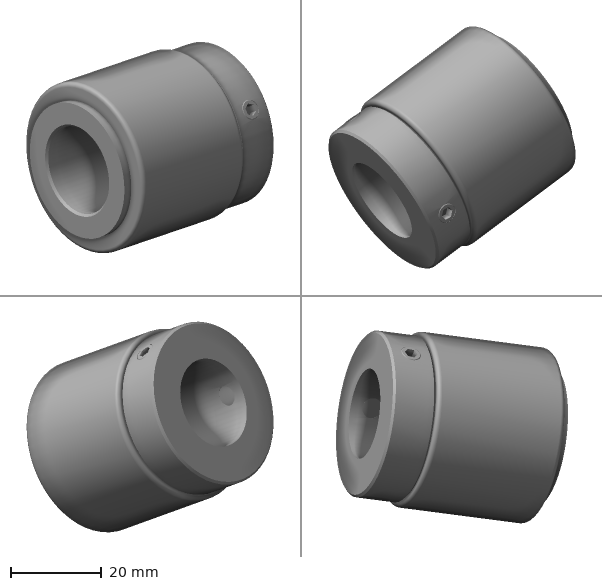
import cadquery as cq
import math

total_length = 42.0
nose_length = 2.0
collar_width = 10.0
housing_start = nose_length
housing_end = total_length - collar_width

housing_diameter = 39.0
collar_diameter = 37.0
sleeve_diameter = 31.0
bore_diameter = 20.0

housing_edge_radius = 1.0
edge_chamfer = 0.5

screw_placements = ((30.0, -25.0), (150.0, -10.0))
screw_diameter = 4.5
screw_end_chamfer = 0.15
socket_across_flats = 2.5
socket_depth = 1.95
screw_y = total_length - collar_width / 2
screw_outer_radius = collar_diameter / 2
screw_inner_radius = bore_diameter / 2


def ring(outer_diameter, inner_diameter, start, end):
    """Hollow cylinder around the Y axis, from y = start to y = end."""
    return (
        cq.Workplane("XZ", origin=(0, start, 0))
        .circle(outer_diameter / 2)
        .circle(inner_diameter / 2)
        .extrude(start - end)
    )


def radial_plane(angle, radius):
    """Plane facing outward at the given angle from +X toward +Z, with its local x along +Y."""
    outward = cq.Vector(math.cos(math.radians(angle)), 0, math.sin(math.radians(angle)))
    origin = outward * radius + cq.Vector(0, screw_y, 0)
    return cq.Plane(origin=origin, xDir=(0, 1, 0), normal=outward)


def make_housing():
    """Outer shell with rounded rims, bored to take the sleeve."""
    shell = ring(housing_diameter, sleeve_diameter, housing_start, housing_end)
    outer_rims = cq.selectors.RadiusNthSelector(-1)
    return shell.edges("%CIRCLE").edges(outer_rims).fillet(housing_edge_radius)


def make_sleeve():
    """Bearing sleeve that fills the housing and stands out of its front as a nose."""
    sleeve = ring(sleeve_diameter, bore_diameter, 0, housing_end)
    front_bore_rim = cq.selectors.RadiusNthSelector(0)
    return sleeve.faces("<Y").edges(front_bore_rim).chamfer(edge_chamfer)


def make_collar():
    """Locking collar behind the housing, with a radial through hole for each set screw."""
    collar = ring(collar_diameter, bore_diameter, housing_end, total_length)
    outer_rims = cq.selectors.RadiusNthSelector(-1)
    collar = collar.edges("%CIRCLE").edges(outer_rims).chamfer(edge_chamfer)
    for angle, _ in screw_placements:
        hole_start = radial_plane(angle, 0)
        hole = cq.Workplane(hole_start).circle(screw_diameter / 2).extrude(collar_diameter)
        collar = collar.cut(hole)
    return collar


def make_set_screw(angle, socket_twist):
    """Headless screw from the bore to the collar surface, with a chamfered end and a hexagon socket."""
    screw_length = screw_outer_radius - screw_inner_radius
    across_corners = socket_across_flats / math.cos(math.radians(30))
    end_plane = radial_plane(angle, screw_outer_radius)
    body = cq.Workplane(end_plane).circle(screw_diameter / 2).extrude(-screw_length)
    body = body.faces(cq.selectors.DirectionMinMaxSelector(end_plane.zDir)).chamfer(screw_end_chamfer)
    socket = (
        cq.Workplane(end_plane)
        .transformed(rotate=(0, 0, socket_twist))
        .polygon(6, across_corners)
        .extrude(-socket_depth)
    )
    return body.cut(socket)


housing = make_housing()
sleeve = make_sleeve()
collar = make_collar()
set_screws = [make_set_screw(angle, twist) for angle, twist in screw_placements]

result = cq.Compound.makeCompound(
    [housing.val(), sleeve.val(), collar.val(), *[screw.val() for screw in set_screws]]
)